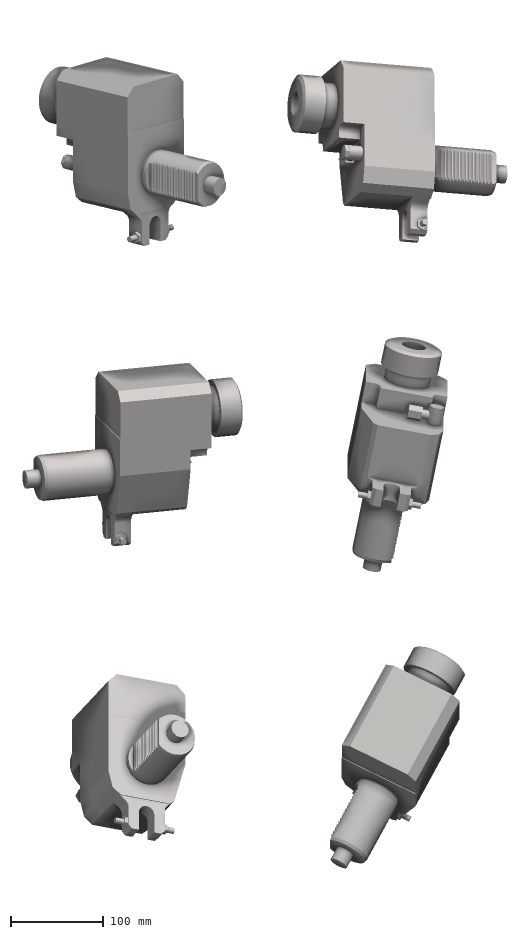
import cadquery as cq
import math


overall_length = 238.2
overall_height = 182.5

half_width = 45.0
housing_top = 102.5
housing_bottom = -42.5
corner_chamfer = 10.0
foot_front = -80.3
nose_front = -104.0
mount_pad_top = 50.5
mount_pad_height = 0.7

nose_underside = 17.1
nose_side_underside = 30.2
nose_half_width = 29.0
nose_fillet = 7.5

left_slope_top = 8.5
left_knee_y, left_knee_z = 32.0, -38.0
right_slope_top = -16.7
right_knee_y, right_knee_z = -40.5, -34.8
left_floor_y = 27.2
right_floor_y = -31.0

fork_half_width = 21.2
fork_front, fork_rear = -20.2, -1.2
fork_bottom = housing_top - overall_height
fork_tip_chamfer = 4.0
fork_shoulder_fillet = 10.0
fork_slot_width = 17.9
fork_slot_top = -50.0

screw_x, screw_z = -7.9, -70.5
screw_diameter = 6.5
screw_tip_y = 34.3
lock_nut_across_corners = 12.5
lock_nut_height = 3.5

spindle_z = 60.0
spindle_diameter = 50.0
clamp_nut_diameter = 62.9
clamp_nut_front = -144.8
clamp_nut_rear = -119.5
clamp_nut_bevel_length, clamp_nut_bevel_depth = 2.5, 4.0
bore_diameter = 26.5
bore_depth = 15.0

shank_radius = 25.0
shank_end = 78.0
neck_radius = 24.3
neck_length = 1.5
lead_in_end = 3.5
end_bevel_length, end_bevel_depth = 3.5, 1.2
drive_diameter = 19.8
drive_end = clamp_nut_front + overall_length

rack_start = 7.9
tooth_tip_y = -19.8
tooth_root_y = -18.0
end_land_y = -18.3
tooth_pitch = 4.0
first_groove_x = 13.5
groove_count = 16
groove_mouth_width = 3.0
groove_floor_width = 0.7

elbow_y = -34.0
elbow_front = -100.5
elbow_diameter = 16.0
elbow_cap_length = 4.3
elbow_hex_across_flats = 14.5
elbow_rear = -81.5
elbow_seat_diameter = 13.8
branch_x = -88.8
branch_diameter = 10.7
branch_hex_start, branch_hex_end = -19.3, -4.5
branch_hex_across_flats = 14.0


def cylinder_x(diameter, start, end, y=0, z=0):
    return cq.Workplane("YZ", origin=(start, y, z)).circle(diameter / 2).extrude(end - start)


def box_between(x_range, y_range, z_range):
    corner = (x_range[0], y_range[0], z_range[0])
    size = [r[1] - r[0] for r in (x_range, y_range, z_range)]
    return cq.Workplane("XY").box(*size, centered=False).translate(corner)


def hexagon_corners(across_flats, first_angle):
    radius = across_flats / math.sqrt(3)
    angles = [math.radians(first_angle + 60 * i) for i in range(6)]
    return [(radius * math.cos(a), radius * math.sin(a)) for a in angles]


def housing_body():
    outline = [
        (half_width - corner_chamfer, housing_top),
        (half_width, housing_top - corner_chamfer),
        (half_width, left_slope_top),
        (left_knee_y, left_knee_z),
        (left_floor_y, housing_bottom),
        (right_floor_y, housing_bottom),
        (right_knee_y, right_knee_z),
        (-half_width, right_slope_top),
        (-half_width, housing_top - corner_chamfer),
        (-half_width + corner_chamfer, housing_top),
    ]
    body = cq.Workplane("YZ", origin=(nose_front, 0, 0)).polyline(outline).close().extrude(-nose_front)

    pad_relief = box_between(
        (-mount_pad_height, 0), (-half_width, half_width), (mount_pad_top, housing_top)
    )
    body = body.cut(pad_relief)

    step_x = (nose_front, foot_front)
    step = box_between(step_x, (-half_width, half_width), (housing_bottom, nose_underside))
    for side in (-1, 1):
        y_range = sorted((side * nose_half_width, side * half_width))
        side_step = box_between(step_x, y_range, (housing_bottom, nose_side_underside))
        inner_edge = cq.selectors.NearestToPointSelector(
            (sum(step_x) / 2, side * nose_half_width, nose_side_underside)
        )
        step = step.union(side_step.edges(inner_edge).fillet(nose_fillet))
    return body.cut(step)


def fork():
    left_slope = (left_knee_z - housing_bottom) / (left_knee_y - left_floor_y)
    right_slope = (right_knee_z - housing_bottom) / (right_floor_y - right_knee_y)
    left_shoulder_z = housing_bottom - left_slope * (left_floor_y - fork_half_width)
    right_shoulder_z = housing_bottom - right_slope * (-fork_half_width - right_floor_y)
    outline = [
        (left_floor_y, housing_bottom),
        (fork_half_width, left_shoulder_z),
        (fork_half_width, fork_bottom + fork_tip_chamfer),
        (fork_half_width - fork_tip_chamfer, fork_bottom),
        (-fork_half_width + fork_tip_chamfer, fork_bottom),
        (-fork_half_width, fork_bottom + fork_tip_chamfer),
        (-fork_half_width, right_shoulder_z),
        (right_floor_y, housing_bottom),
    ]
    plate = cq.Workplane("YZ", origin=(fork_front, 0, 0)).polyline(outline).close()
    plate = plate.extrude(fork_rear - fork_front)
    middle_x = (fork_front + fork_rear) / 2
    for y, z in ((fork_half_width, left_shoulder_z), (-fork_half_width, right_shoulder_z)):
        shoulder = cq.selectors.NearestToPointSelector((middle_x, y, z))
        plate = plate.edges(shoulder).fillet(fork_shoulder_fillet)

    slot_center_z = fork_slot_top - fork_slot_width / 2
    slot = cylinder_x(fork_slot_width, fork_front, fork_rear, z=slot_center_z)
    slot_sides = (-fork_slot_width / 2, fork_slot_width / 2)
    slot = slot.union(box_between((fork_front, fork_rear), slot_sides, (fork_bottom, slot_center_z)))
    return plate.cut(slot)


def fork_screw(side):
    across_flats = lock_nut_across_corners * math.sqrt(3) / 2
    face = cq.Workplane("XZ", origin=(screw_x, side * fork_half_width, screw_z))
    nut = face.polyline(hexagon_corners(across_flats, 90)).close().extrude(-side * lock_nut_height)
    screw = face.circle(screw_diameter / 2).extrude(-side * (screw_tip_y - fork_half_width))
    return nut.union(screw)


def spindle():
    spindle_body = cylinder_x(spindle_diameter, clamp_nut_rear, nose_front, z=spindle_z)
    nut_radius = clamp_nut_diameter / 2
    profile = [
        (clamp_nut_front, 0),
        (clamp_nut_front, nut_radius - clamp_nut_bevel_depth),
        (clamp_nut_front + clamp_nut_bevel_length, nut_radius),
        (clamp_nut_rear, nut_radius),
        (clamp_nut_rear, 0),
    ]
    nut = cq.Workplane("XY").polyline(profile).close().revolve(360, (0, 0, 0), (1, 0, 0))
    nut = nut.translate((0, 0, spindle_z))
    bore = cylinder_x(bore_diameter, clamp_nut_front, clamp_nut_front + bore_depth, z=spindle_z)
    return spindle_body.union(nut).cut(bore)


def shank():
    profile = [
        (0, 0),
        (0, neck_radius),
        (neck_length, neck_radius),
        (lead_in_end, shank_radius),
        (shank_end - end_bevel_length, shank_radius),
        (shank_end, shank_radius - end_bevel_depth),
        (shank_end, 0),
    ]
    body = cq.Workplane("XY").polyline(profile).close().revolve(360, (0, 0, 0), (1, 0, 0))
    return body.cut(rack_cutter()).union(cylinder_x(drive_diameter, shank_end, drive_end))


def rack_cutter():
    z_range = (-shank_radius, shank_radius)
    cutter = box_between((rack_start, shank_end), (-shank_radius, tooth_tip_y), z_range)

    groove_outline = [
        (-groove_mouth_width / 2, tooth_tip_y),
        (-groove_floor_width / 2, tooth_root_y),
        (groove_floor_width / 2, tooth_root_y),
        (groove_mouth_width / 2, tooth_tip_y),
    ]
    groove = cq.Workplane("XY").polyline(groove_outline).close().extrude(shank_radius, both=True)
    for i in range(groove_count):
        cutter = cutter.union(groove.translate((first_groove_x + i * tooth_pitch, 0, 0)))

    land_start = first_groove_x + (groove_count - 1) * tooth_pitch
    return cutter.union(box_between((land_start, shank_end), (tooth_tip_y, end_land_y), z_range))


def coolant_elbow():
    cap_end = elbow_front + elbow_cap_length
    seat = cylinder_x(elbow_seat_diameter, elbow_rear, foot_front, y=elbow_y)

    hexagon = (
        cq.Workplane("YZ", origin=(elbow_front, elbow_y, 0))
        .polyline(hexagon_corners(elbow_hex_across_flats, 0))
        .close()
        .extrude(elbow_cap_length)
    )
    cap = cylinder_x(elbow_diameter, elbow_front, cap_end, y=elbow_y).intersect(hexagon)
    barrel = cylinder_x(elbow_diameter, cap_end, elbow_rear, y=elbow_y)

    branch = (
        cq.Workplane("XZ", origin=(branch_x, elbow_y, 0))
        .circle(branch_diameter / 2)
        .extrude(elbow_y - branch_hex_start)
    )
    branch_hex = (
        cq.Workplane("XZ", origin=(branch_x, branch_hex_start, 0))
        .polyline(hexagon_corners(branch_hex_across_flats, 0))
        .close()
        .extrude(branch_hex_start - branch_hex_end)
    )
    return barrel.union(cap).union(seat).union(branch).union(branch_hex)


result = housing_body().union(fork()).union(spindle()).union(shank()).union(coolant_elbow())
for side in (-1, 1):
    result = result.union(fork_screw(side))